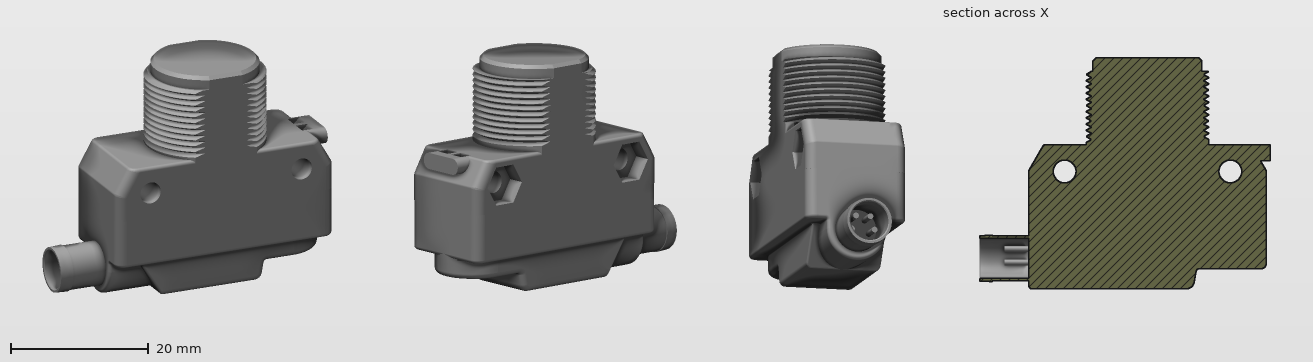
import cadquery as cq
import math


WIDTH = 15.0
LENGTH = 34.54
HEIGHT = 15.1
STEP_Z = 7.3
UPPER_CORNER_R = 1.4
LOWER_CORNER_R = 1.5
BEVEL_RUN = 2.2
BEVEL_RISE = BEVEL_RUN * math.tan(math.radians(60))
KNEE_Z = HEIGHT - BEVEL_RISE
EDGE_R = 0.5

THREAD_R = 8.95
THREAD_PITCH = 0.9
THREAD_DEPTH = 0.75
THREAD_GROOVE_W = 0.84
GROOVE_OVERCUT = 0.04
GROOVE_HALF_SPAN = 70.0
THREAD_START_Z = 15.68
THREAD_START_ANGLE = 223.0
THREAD_TOP_Z = 25.75
TOP_Z = 27.7
CAP_R = 7.95
CAP_CHAMFER = 0.5

HOLE_D = 3.25
HOLE_Y = 12.03
HOLE_Z = 11.17
HEX_FLATS = 5.65
HEX_DEPTH = 2.6

COVER_W = 11.15
COVER_DEPTH = 5.9
COVER_SHALLOW = 3.0
COVER_STEP_Y = 7.15
COVER_STEP_TILT = 10.0
COVER_STEP_R = 1.2
COVER_STEP_ROOT_R = 0.4
COVER_RAMP_Y = -9.2
COVER_RAMP_ANGLE = 57.0
COVER_EDGE_R = 0.8
RAMP_EDGE_R = 0.3

SHROUD_R = 4.45
SHROUD_LEN = 10.0
CONNECTOR_Z = SHROUD_R - COVER_DEPTH
ROOT_R = 0.25
SOCKET_R = 3.29
COLLAR_ROOT_R = 3.44
COLLAR_TIP_R = 3.34
COLLAR_LEN = 1.9
SOCKET_LEN = 7.1
BORE_R = 2.86
BORE_CHAMFER = 0.15
PIN_D = 0.85
PIN_LEN = 3.5
PIN_SPOTS = [(-1.08, 1.35), (1.08, 1.35), (-1.7, -0.6), (1.7, -0.6)]

LUG_W = 7.6
LUG_H = 2.4
LUG_OVERHANG = 0.57
LUG_START_Y = 10.0
NOTCH_GAP = 0.8
NOTCH_W = 2.2
NOTCH_Y = 14.3
NOTCH_LEN = 1.9

HALF_W = WIDTH / 2
HALF_L = LENGTH / 2
JOIN = 1.0
MARGIN = 0.1
TOLERANCE = 0.001
COVER_ROUND_Y = HALF_L - COVER_W / 2


def make_upper_housing():
    """Upper part of the housing, with a bevel along the top of each end."""
    upper = (
        cq.Workplane("YZ")
        .moveTo(-HALF_L, STEP_Z)
        .lineTo(HALF_L, STEP_Z)
        .lineTo(HALF_L, KNEE_Z)
        .lineTo(HALF_L - BEVEL_RUN, HEIGHT)
        .lineTo(-HALF_L + BEVEL_RUN, HEIGHT)
        .lineTo(-HALF_L, KNEE_Z)
        .close()
        .extrude(HALF_W, both=True)
    )
    knees = cq.selectors.BoxSelector((-WIDTH, -LENGTH, KNEE_Z - MARGIN), (WIDTH, LENGTH, KNEE_Z + MARGIN))
    upper = upper.edges("|X").edges(knees).fillet(EDGE_R)
    upper = upper.faces("<X or >X").edges("not |Y").fillet(UPPER_CORNER_R)
    return upper.faces(">Z").edges().fillet(EDGE_R)


def make_lower_housing():
    """Lower part of the housing and the connector shroud, rounded along their common outline."""
    lower = (
        cq.Workplane("XY")
        .rect(WIDTH, LENGTH)
        .extrude(STEP_Z)
        .edges("|Z")
        .fillet(LOWER_CORNER_R)
        .union(make_shroud())
    )

    def on_shroud_root(edge):
        box = edge.BoundingBox()
        beside_shroud = abs(abs(edge.Center().x) - SHROUD_R) < TOLERANCE
        return beside_shroud and box.ylen > TOLERANCE and abs(box.zmax) < TOLERANCE and box.zlen < TOLERANCE

    roots = [e for e in lower.edges().vals() if on_shroud_root(e)]
    lower = lower.newObject(roots).fillet(ROOT_R)

    def on_end_outline(edge):
        box = edge.BoundingBox()
        return box.ymax < -HALF_L + TOLERANCE and box.zmax < TOLERANCE

    def on_bottom_outline(edge):
        beside_shroud = abs(edge.Center().x) < SHROUD_R + ROOT_R + TOLERANCE and edge.Center().y < 0
        box = edge.BoundingBox()
        return abs(box.zmin) < TOLERANCE and box.zmax < TOLERANCE and not beside_shroud

    outline = [e for e in lower.edges().vals() if on_end_outline(e) or on_bottom_outline(e)]
    return lower.newObject(outline).fillet(EDGE_R)


def make_shroud():
    """U-shaped prism around the connector."""
    return (
        cq.Workplane("XZ", origin=(0, -HALF_L, 0))
        .moveTo(-SHROUD_R, JOIN)
        .lineTo(-SHROUD_R, CONNECTOR_Z)
        .threePointArc((0, CONNECTOR_Z - SHROUD_R), (SHROUD_R, CONNECTOR_Z))
        .lineTo(SHROUD_R, JOIN)
        .close()
        .extrude(-SHROUD_LEN)
    )


def make_groove_arc(start_angle, end_angle):
    """V-shaped cutter along the thread helix between two angles, counted on over the turns."""
    height = THREAD_PITCH * (end_angle - start_angle) / 360
    start_z = THREAD_START_Z + THREAD_PITCH * (start_angle - THREAD_START_ANGLE) / 360
    helix = cq.Wire.makeHelix(THREAD_PITCH, height, THREAD_R)
    half_mouth = THREAD_GROOVE_W / 2 * (1 + GROOVE_OVERCUT / THREAD_DEPTH)
    return (
        cq.Workplane("XZ")
        .polyline([
            (THREAD_R - THREAD_DEPTH, 0),
            (THREAD_R + GROOVE_OVERCUT, half_mouth),
            (THREAD_R + GROOVE_OVERCUT, -half_mouth),
        ])
        .close()
        .sweep(cq.Workplane(helix), isFrenet=True)
        .rotate((0, 0, 0), (0, 0, 1), start_angle)
        .translate((0, 0, start_z))
    )


def make_groove_arcs():
    """The flats interrupt the helix, so each turn is one arc on the -Y side and one on the +Y side."""
    turns = math.ceil((THREAD_TOP_Z - THREAD_START_Z) / THREAD_PITCH)
    arcs = []
    for half_turn in range(2 * turns + 1):
        middle = 270 + 180 * half_turn
        start = max(middle - GROOVE_HALF_SPAN, THREAD_START_ANGLE)
        arcs.append(make_groove_arc(start, middle + GROOVE_HALF_SPAN).val())
    return arcs


def make_barrel():
    """Threaded barrel with a smooth chamfered cap and two flats."""
    base_z = HEIGHT - JOIN
    shank = cq.Workplane("XY", origin=(0, 0, base_z)).circle(THREAD_R).extrude(THREAD_TOP_Z - base_z)
    shank = shank.intersect(cq.Workplane("XY").box(WIDTH, LENGTH, 2 * TOP_Z))
    shank = cq.Workplane("XY").newObject([shank.val().cut(*make_groove_arcs())])
    cap = cq.Workplane("XY", origin=(0, 0, THREAD_TOP_Z)).circle(CAP_R).extrude(TOP_Z - THREAD_TOP_Z)
    cap = cap.faces(">Z").edges().chamfer(CAP_CHAMFER)
    flats = cq.Workplane("XY").box(WIDTH, LENGTH, 2 * TOP_Z).edges("|Y and >Z").chamfer(CAP_CHAMFER)
    return shank.union(cap.intersect(flats))


def make_cover():
    """Stepped cover with a half-round +Y end and a ramp at the -Y end."""
    slope = math.tan(math.radians(COVER_STEP_TILT))
    step_end_y = COVER_STEP_Y - (COVER_DEPTH - COVER_SHALLOW) * slope
    ramp_top_y = COVER_RAMP_Y - (COVER_DEPTH + JOIN) / math.tan(math.radians(COVER_RAMP_ANGLE))
    profile = (
        cq.Workplane("YZ")
        .polyline([
            (HALF_L, JOIN),
            (HALF_L, -COVER_SHALLOW),
            (COVER_STEP_Y, -COVER_SHALLOW),
            (step_end_y, -COVER_DEPTH),
            (COVER_RAMP_Y, -COVER_DEPTH),
            (ramp_top_y, JOIN),
        ])
        .close()
        .extrude(COVER_W / 2, both=True)
    )
    middle_y = (COVER_STEP_Y + step_end_y) / 2
    step_box = cq.selectors.BoxSelector(
        (-WIDTH, step_end_y - MARGIN, -COVER_DEPTH - MARGIN), (WIDTH, middle_y, -COVER_SHALLOW - JOIN))
    root_box = cq.selectors.BoxSelector(
        (-WIDTH, middle_y, -COVER_SHALLOW - MARGIN), (WIDTH, COVER_STEP_Y + MARGIN, -COVER_SHALLOW + MARGIN))
    cover = profile.edges("|X").edges(step_box).fillet(COVER_STEP_R)
    cover = cover.edges("|X").edges(root_box).fillet(COVER_STEP_ROOT_R)

    plan = (
        cq.Workplane("XY", origin=(0, 0, -COVER_DEPTH))
        .moveTo(-COVER_W / 2, -HALF_L)
        .lineTo(-COVER_W / 2, COVER_ROUND_Y)
        .threePointArc((0, HALF_L), (COVER_W / 2, COVER_ROUND_Y))
        .lineTo(COVER_W / 2, -HALF_L)
        .close()
        .extrude(COVER_DEPTH + JOIN)
    )
    cover = cover.intersect(plan)

    def on_lower_rim(edge):
        upright = edge.BoundingBox().zmax > 0
        crosswise = edge.BoundingBox().ylen < TOLERANCE
        return not upright and not crosswise

    rim = [e for e in cover.edges().vals() if on_lower_rim(e)]
    cover = cover.newObject(rim).fillet(COVER_EDGE_R)
    return cover.faces("<Y").edges("not >Z").fillet(RAMP_EDGE_R)


def make_cover_root():
    """Hollow fillet between the cover and the flat of the underside, up to the ramp."""
    ramp_y = COVER_RAMP_Y - COVER_DEPTH / math.tan(math.radians(COVER_RAMP_ANGLE)) + RAMP_EDGE_R
    flat_end_y = HALF_L - EDGE_R
    edge_x = COVER_W / 2
    hollow = ROOT_R * (1 - math.sqrt(0.5))
    section = (
        cq.Workplane("XZ", origin=(0, COVER_ROUND_Y, 0))
        .moveTo(0, EDGE_R)
        .lineTo(0, -ROOT_R)
        .lineTo(edge_x, -ROOT_R)
        .threePointArc((edge_x + hollow, -hollow), (edge_x + ROOT_R, 0))
        .lineTo(edge_x + ROOT_R, EDGE_R)
        .close()
    )
    half = section.extrude(COVER_ROUND_Y - ramp_y)
    round_end = section.toPending().revolve(360, (0, 0, 0), (0, 1, 0))
    flat = cq.Workplane("XY").box(WIDTH, 2 * flat_end_y, 2 * HEIGHT)
    return half.union(half.mirror("YZ")).union(round_end.intersect(flat))


def add_connector(body):
    """Socket tube with a tapered collar, a blind bore and four pins."""
    tip_y = -HALF_L - SOCKET_LEN
    collar_y = tip_y + COLLAR_LEN
    tube = (
        cq.Workplane("XY")
        .polyline([
            (0, -HALF_L + JOIN),
            (SOCKET_R, -HALF_L + JOIN),
            (SOCKET_R, collar_y),
            (COLLAR_ROOT_R, collar_y),
            (COLLAR_TIP_R, tip_y),
            (0, tip_y),
        ])
        .close()
        .revolve(360, (0, 0, 0), (0, 1, 0))
        .translate((0, 0, CONNECTOR_Z))
    )
    floor = cq.Workplane("XZ", origin=(0, -HALF_L, CONNECTOR_Z))
    bore = floor.circle(BORE_R).extrude(SOCKET_LEN)
    pins = floor.workplane(offset=-JOIN).pushPoints(PIN_SPOTS).circle(PIN_D / 2).extrude(JOIN + PIN_LEN)
    body = body.union(tube).cut(bore)
    mouth = cq.selectors.BoxSelector(
        (-BORE_R - MARGIN, tip_y - MARGIN, CONNECTOR_Z - BORE_R - MARGIN),
        (BORE_R + MARGIN, tip_y + MARGIN, CONNECTOR_Z + BORE_R + MARGIN), boundingbox=True)
    body = body.edges(mouth).chamfer(BORE_CHAMFER)
    return body.union(pins)


def make_lug():
    """Flat lug with rounded sides, overhanging the +Y end."""
    return (
        cq.Workplane("XZ", origin=(0, HALF_L + LUG_OVERHANG, HEIGHT - LUG_H / 2))
        .slot2D(LUG_W, LUG_H)
        .extrude(HALF_L + LUG_OVERHANG - LUG_START_Y)
    )


def cut_lug_notches(body):
    """Two wedge-shaped notches, deepest at their -Y wall."""
    for side in (-1, 1):
        middle_x = side * (NOTCH_GAP + NOTCH_W) / 2
        notch = (
            cq.Workplane("YZ", origin=(middle_x, 0, 0))
            .moveTo(NOTCH_Y, HEIGHT)
            .lineTo(NOTCH_Y + NOTCH_LEN, HEIGHT)
            .lineTo(NOTCH_Y, HEIGHT - NOTCH_LEN)
            .close()
            .extrude(NOTCH_W / 2, both=True)
        )
        body = body.cut(notch)
    return body


def cut_mounting_holes(body):
    """Through holes along X, each with a hexagonal nut pocket in the -X side."""
    hex_corners = HEX_FLATS / math.cos(math.radians(30))
    for y in (-HOLE_Y, HOLE_Y):
        side = cq.Workplane("YZ", origin=(-HALF_W, y, HOLE_Z))
        body = body.cut(side.circle(HOLE_D / 2).extrude(WIDTH))
        body = body.cut(side.polygon(6, hex_corners).extrude(HEX_DEPTH))
    return body


housing = make_upper_housing().union(make_lower_housing()).union(make_cover())
housing = housing.union(make_cover_root())
housing = cut_lug_notches(housing.union(make_lug()))
housing = cut_mounting_holes(housing)
housing = add_connector(housing)
result = housing.union(make_barrel())